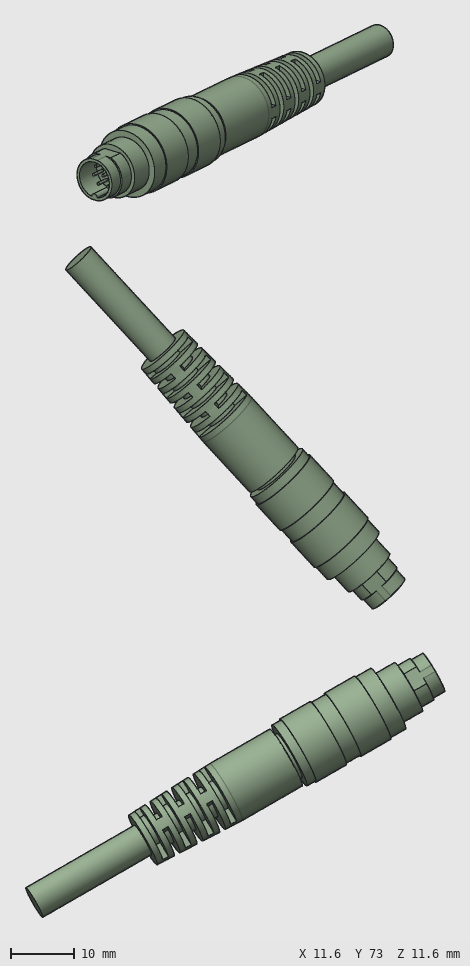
import cadquery as cq
import math

total_length = 73.0

nose_radius = 3.5
nose_end = 2.2
shoulder_radius = 3.8
shoulder_end = 4.6
collar_radius = 4.45
collar_end = 8.3
ring_radius = 5.55
grip_radius = 5.8
front_grip_start = 11.2
front_grip_end = 16.65
rear_grip_start = 19.3
rear_grip_end = 24.8
ring_end = 26.35
neck_radius = 4.0
neck_end = 27.0

sleeve_radius = 5.2
sleeve_end = 37.95
relief_end = 53.15
relief_end_radius = 4.5
cable_radius = 2.7

nose_flat_width = 1.2
flat_height = math.sqrt(nose_radius**2 - (nose_flat_width / 2) ** 2)

socket_radius = 3.0
socket_depth = 4.4
key_radius = 0.6
pin_radius = 0.23
pin_length = 2.2
pin_circle_radius = 1.9
outer_pin_count = 7
pin_spacing_angle = 50.0

groove_count = 7
groove_width = 1.0
relief_end_wall = 1.0
rib_width = 1.9
first_groove = sleeve_end + relief_end_wall
last_groove = relief_end - relief_end_wall - groove_width
groove_pitch = (last_groove - first_groove) / (groove_count - 1)


def cylinder(radius, start, end, x=0.0, z=0.0):
    """Cylinder along Y between two Y positions."""
    base = cq.Vector(x, start, z)
    return cq.Workplane(cq.Solid.makeCylinder(radius, end - start, base, cq.Vector(0, 1, 0)))


def make_body():
    """Stepped and tapered solid of revolution about Y."""
    sections = [
        (nose_radius, nose_end),
        (shoulder_radius, shoulder_end),
        (collar_radius, collar_end),
        (ring_radius, front_grip_start),
        (grip_radius, front_grip_end),
        (ring_radius, rear_grip_start),
        (grip_radius, rear_grip_end),
        (ring_radius, ring_end),
        (neck_radius, neck_end),
        (sleeve_radius, sleeve_end),
    ]
    profile = cq.Workplane("YZ").moveTo(0, 0)
    start = 0.0
    for radius, end in sections:
        profile = profile.lineTo(start, radius).lineTo(end, radius)
        start = end
    profile = profile.lineTo(relief_end, relief_end_radius).lineTo(relief_end, cable_radius)
    profile = profile.lineTo(total_length, cable_radius).lineTo(total_length, 0).close()
    return profile.revolve(360, (0, 0, 0), (1, 0, 0))


def cut_tip_flats(body):
    """Trim the plug tip to parallel flats above and below."""
    width = 2 * grip_radius
    trim_height = grip_radius - flat_height
    for side in (-1, 1):
        middle = side * (flat_height + trim_height / 2)
        trim = cq.Workplane("XY").box(width, shoulder_end, trim_height)
        body = body.cut(trim.translate((0, shoulder_end / 2, middle)))
    return body


def make_socket():
    """Bore of the plug, less the keying ridge and the pins left standing in it."""
    socket = cylinder(socket_radius, 0, socket_depth)
    socket = socket.cut(cylinder(key_radius, 0, socket_depth, z=-socket_radius))
    pin_start = socket_depth - pin_length
    socket = socket.cut(cylinder(pin_radius, pin_start, socket_depth))
    for index in range(outer_pin_count):
        angle = math.radians(90 + (index - outer_pin_count // 2) * pin_spacing_angle)
        x = pin_circle_radius * math.cos(angle)
        z = pin_circle_radius * math.sin(angle)
        socket = socket.cut(cylinder(pin_radius, pin_start, socket_depth, x, z))
    return socket


def make_groove(index):
    """Ring groove whose floor shifts off axis so that one side keeps a constant depth."""
    start = first_groove + index * groove_pitch
    end = start + groove_width
    taper_position = index / (groove_count - 1)
    floor_shift = taper_position * (sleeve_radius - relief_end_radius)
    ribs_along_x = index % 2 == 0
    if ribs_along_x:
        floor = cylinder(cable_radius, start, end, x=floor_shift)
        rib_size = (2 * grip_radius, groove_width, rib_width)
    else:
        floor = cylinder(cable_radius, start, end, z=-floor_shift)
        rib_size = (rib_width, groove_width, 2 * grip_radius)
    ribs = cq.Workplane("XY").box(*rib_size).translate((0, (start + end) / 2, 0))
    return cylinder(grip_radius, start, end).cut(floor).cut(ribs)


result = cut_tip_flats(make_body()).cut(make_socket())
for groove_index in range(groove_count):
    result = result.cut(make_groove(groove_index))